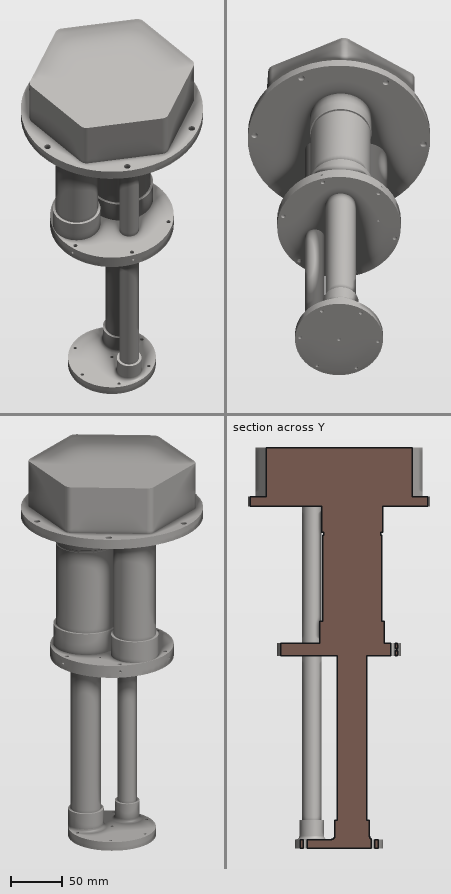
import cadquery as cq
import math

TOTAL_HEIGHT = 390.63
TOP_FLANGE_TOP = 343.005

TOP_FLANGE_DIA = 177.8
TOP_FLANGE_THICK = 9.525
MIDDLE_FLANGE_DIA = 120.65
MIDDLE_FLANGE_THICK = 12.5
MIDDLE_FLANGE_TOP = 200.1
BOTTOM_FLANGE_DIA = 85.72
BOTTOM_FLANGE_THICK = 9.0

COVER_ACROSS_FLATS = 142.875
COVER_CORNER_RADIUS = 7.62

MAIN_AXIS = (-12.7, 22.0)
SIDE_AXIS = (-12.8, -34.3)
SMALL_AXIS = (26.7, -0.7)

MAIN_UPPER_DIA = 58.42
MAIN_TOP_COLLAR_DIA = 60.2
MAIN_TOP_COLLAR_LENGTH = 25.4
TOP_COLLAR_CHAMFER = 0.4
GROOVE_DIA = 56.5
GROOVE_WIDTH = 2.4
MAIN_LOWER_COLLAR_DIA = 63.5
UPPER_COLLAR_HEIGHT = 21.6

SIDE_TUBE_DIA = 41.27
SIDE_COLLAR_DIA = 46.35

MAIN_LOWER_DIA = 29.84
LOWER_MAIN_COLLAR_DIA = 34.8
SMALL_TUBE_DIA = 19.05
SMALL_COLLAR_DIA = 24.13
LOWER_COLLAR_TOP = 28.0
COLLAR_FILLET = 3.175

HOLES_PER_RING = 6
RING_STEP = 360 / HOLES_PER_RING
TOP_HOLE_DIA = 6.35
TOP_HOLE_RING_RADIUS = 82.55
TOP_HOLE_START = 30
MIDDLE_HOLE_DIA = 4.14
MIDDLE_HOLE_RING_RADIUS = 55.9
MIDDLE_HOLE_START = 40
RIM_HOLE_DIA = 2.46
GAUGE_HOLE_DIA = 2.46
GAUGE_HOLE_AXIS = (-38.0, -10.2)
BOTTOM_HOLE_DIA = 3.25
BOTTOM_HOLE_RING_RADIUS = 38.1
BOTTOM_HOLE_START = 30
CENTRE_HOLE_DIA = 3.25

TOP_FLANGE_BOTTOM = TOP_FLANGE_TOP - TOP_FLANGE_THICK
MIDDLE_FLANGE_BOTTOM = MIDDLE_FLANGE_TOP - MIDDLE_FLANGE_THICK
UPPER_COLLAR_TOP = MIDDLE_FLANGE_TOP + UPPER_COLLAR_HEIGHT
TOP_COLLAR_BOTTOM = TOP_FLANGE_BOTTOM - MAIN_TOP_COLLAR_LENGTH
GROOVE_BOTTOM = TOP_COLLAR_BOTTOM - GROOVE_WIDTH


def cylinder(axis, diameter, z_bottom, z_top):
    """Upright cylinder between two levels."""
    base = cq.Workplane("XY").workplane(offset=z_bottom).center(*axis)
    return base.circle(diameter / 2).extrude(z_top - z_bottom)


def disc(diameter, z_bottom, thickness):
    """Flange centred on the Z axis."""
    return cylinder((0, 0), diameter, z_bottom, z_bottom + thickness)


def ring_angles(start):
    return [start + RING_STEP * index for index in range(HOLES_PER_RING)]


def polar_point(radius, angle):
    return (radius * math.cos(math.radians(angle)), radius * math.sin(math.radians(angle)))


def hole_ring(body, diameter, radius, start, z_bottom, z_top):
    """Drill evenly spaced vertical holes between two levels."""
    for angle in ring_angles(start):
        body = body.cut(cylinder(polar_point(radius, angle), diameter, z_bottom, z_top))
    return body


def hexagonal_cover():
    """Cover with two flats facing +Y and -Y and rounded upright corners."""
    across_corners = COVER_ACROSS_FLATS / math.cos(math.pi / 6)
    base = cq.Workplane("XY").workplane(offset=TOP_FLANGE_TOP)
    cover = base.polygon(6, across_corners).extrude(TOTAL_HEIGHT - TOP_FLANGE_TOP)
    return cover.edges("|Z").fillet(COVER_CORNER_RADIUS)


def top_flange():
    flange = disc(TOP_FLANGE_DIA, TOP_FLANGE_BOTTOM, TOP_FLANGE_THICK)
    return hole_ring(
        flange, TOP_HOLE_DIA, TOP_HOLE_RING_RADIUS, TOP_HOLE_START, TOP_FLANGE_BOTTOM, TOP_FLANGE_TOP
    )


def middle_flange():
    """Flange with vertical holes, each met by a hole drilled inward from the rim."""
    flange = disc(MIDDLE_FLANGE_DIA, MIDDLE_FLANGE_BOTTOM, MIDDLE_FLANGE_THICK)
    flange = hole_ring(
        flange,
        MIDDLE_HOLE_DIA,
        MIDDLE_HOLE_RING_RADIUS,
        MIDDLE_HOLE_START,
        MIDDLE_FLANGE_BOTTOM,
        MIDDLE_FLANGE_TOP,
    )
    flange = flange.cut(cylinder(GAUGE_HOLE_AXIS, GAUGE_HOLE_DIA, MIDDLE_FLANGE_BOTTOM, MIDDLE_FLANGE_TOP))
    mid_level = (MIDDLE_FLANGE_BOTTOM + MIDDLE_FLANGE_TOP) / 2
    rim_hole_depth = MIDDLE_FLANGE_DIA / 2 - MIDDLE_HOLE_RING_RADIUS
    for angle in ring_angles(MIDDLE_HOLE_START):
        rim_hole = (
            cq.Workplane("YZ", origin=(MIDDLE_HOLE_RING_RADIUS, 0, mid_level))
            .circle(RIM_HOLE_DIA / 2)
            .extrude(rim_hole_depth)
            .rotate((0, 0, 0), (0, 0, 1), angle)
        )
        flange = flange.cut(rim_hole)
    return flange


def upper_main_tube():
    """Main tube between the top and middle flanges, collared at both ends."""
    tube = cylinder(MAIN_AXIS, MAIN_UPPER_DIA, MIDDLE_FLANGE_TOP, GROOVE_BOTTOM)
    groove_core = cylinder(MAIN_AXIS, GROOVE_DIA, GROOVE_BOTTOM, TOP_COLLAR_BOTTOM)
    top_collar = cylinder(MAIN_AXIS, MAIN_TOP_COLLAR_DIA, TOP_COLLAR_BOTTOM, TOP_FLANGE_BOTTOM)
    top_collar = top_collar.faces("<Z").edges().chamfer(TOP_COLLAR_CHAMFER)
    lower_collar = cylinder(MAIN_AXIS, MAIN_LOWER_COLLAR_DIA, MIDDLE_FLANGE_TOP, UPPER_COLLAR_TOP)
    return tube.union(groove_core).union(top_collar).union(lower_collar)


def side_tube():
    tube = cylinder(SIDE_AXIS, SIDE_TUBE_DIA, MIDDLE_FLANGE_TOP, TOP_FLANGE_BOTTOM)
    return tube.union(cylinder(SIDE_AXIS, SIDE_COLLAR_DIA, MIDDLE_FLANGE_TOP, UPPER_COLLAR_TOP))


def filleted_collar(axis, diameter):
    """Collar on the bottom flange whose foot fillet is trimmed by the flange rim."""
    radius = diameter / 2
    foot_radius = radius + COLLAR_FILLET
    fillet_top = BOTTOM_FLANGE_THICK + COLLAR_FILLET
    fillet_inset = COLLAR_FILLET * (1 - math.cos(math.pi / 4))
    collar = (
        cq.Workplane("XZ")
        .moveTo(0, BOTTOM_FLANGE_THICK)
        .lineTo(foot_radius, BOTTOM_FLANGE_THICK)
        .threePointArc((radius + fillet_inset, BOTTOM_FLANGE_THICK + fillet_inset), (radius, fillet_top))
        .lineTo(radius, LOWER_COLLAR_TOP)
        .lineTo(0, LOWER_COLLAR_TOP)
        .close()
        .revolve(360, (0, 0), (0, 1))
        .translate((*axis, 0))
    )
    return collar.intersect(disc(BOTTOM_FLANGE_DIA, BOTTOM_FLANGE_THICK, LOWER_COLLAR_TOP))


def bottom_end():
    """Bottom flange with both collars and its holes."""
    body = disc(BOTTOM_FLANGE_DIA, 0, BOTTOM_FLANGE_THICK)
    body = body.union(filleted_collar(MAIN_AXIS, LOWER_MAIN_COLLAR_DIA))
    body = body.union(filleted_collar(SMALL_AXIS, SMALL_COLLAR_DIA))
    body = body.cut(cylinder((0, 0), CENTRE_HOLE_DIA, 0, BOTTOM_FLANGE_THICK))
    drill_top = BOTTOM_FLANGE_THICK + COLLAR_FILLET
    return hole_ring(body, BOTTOM_HOLE_DIA, BOTTOM_HOLE_RING_RADIUS, BOTTOM_HOLE_START, 0, drill_top)


lower_main_tube = cylinder(MAIN_AXIS, MAIN_LOWER_DIA, BOTTOM_FLANGE_THICK, MIDDLE_FLANGE_BOTTOM)
small_tube = cylinder(SMALL_AXIS, SMALL_TUBE_DIA, BOTTOM_FLANGE_THICK, TOP_FLANGE_BOTTOM)

result = (
    hexagonal_cover()
    .union(top_flange())
    .union(middle_flange())
    .union(bottom_end())
    .union(upper_main_tube())
    .union(side_tube())
    .union(lower_main_tube)
    .union(small_tube)
)